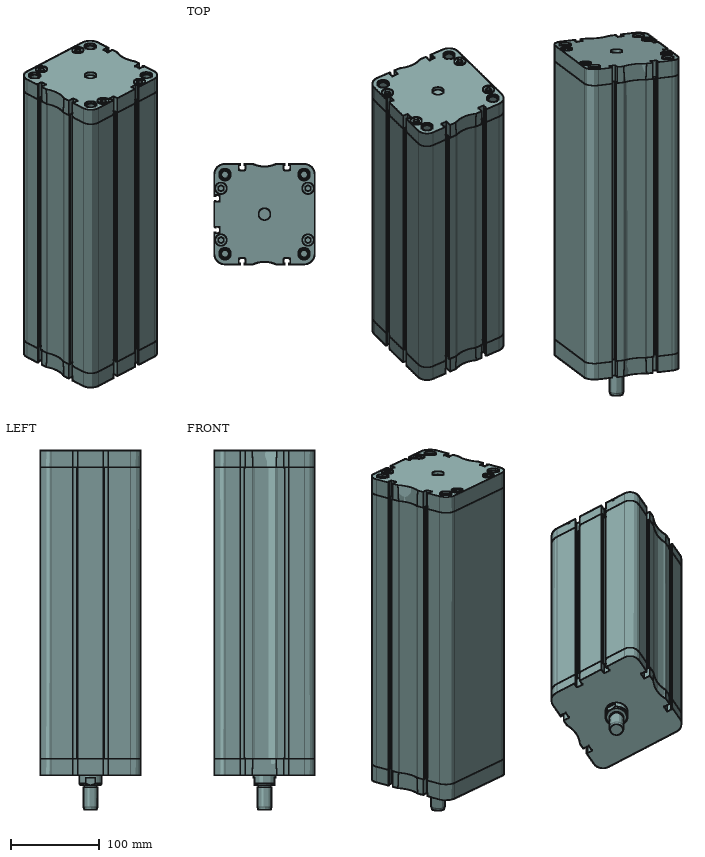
import cadquery as cq
import math

OVERALL_LENGTH = 405.0
SIDE = 113.5
HALF_SIDE = SIDE / 2
CORNER_RADIUS = 12.0

ROD_REACH = 39.0
COLLAR_LENGTH = 11.0
NECK_LENGTH = 2.5
TIP_CHAMFER = 3.5
COLLAR_DIAMETER = 25.5
COLLAR_CHAMFER = 1.2
COLLAR_CHAMFER_LENGTH = 2.0
THREAD_DIAMETER = 16.0
NECK_DIAMETER = 14.0
WRENCH_FLATS = 23.0
FLATS_TOP = 2.5

HOUSING_LENGTH = OVERALL_LENGTH - ROD_REACH
CAP_LENGTH = 19.0
BARREL_LENGTH = HOUSING_LENGTH - 2 * CAP_LENGTH

SLOT_OFFSET_X = 25.0
SLOT_OFFSET_Y = 18.0
SLOT_NECK = 5.0
SLOT_WIDTH = 7.3
SLOT_LIP = 1.5
SLOT_DEPTH = 7.3
SIDE_SLOT_DEPTH = 6.0
SLOT_FLOOR_WIDTH = SLOT_NECK
SLOT_FLOOR_TAPER = 1.5
SIDE_SLOT_MOUTH_CHAMFER = 1.2

GROOVE_WIDTH = 26.0
GROOVE_DEPTH = 3.0
GROOVE_EDGE_RADIUS = 3.2
CAP_GROOVE_WIDENING = 0.5

CORNER_HOLE_OFFSET = 44.5
CORNER_HOLE_DIAMETER = 10.0
CORNER_HOLE_MOUTH = 13.5
CORNER_HOLE_CORE = 8.5
CORNER_HOLE_MOUTH_DEPTH = 2.5
CORNER_HOLE_DEPTH = 12.0
CORNER_HOLE_CORE_DEPTH = 16.0
SCREW_X = 49.0
SCREW_Y = 29.0
SCREW_DIAMETER = 13.0
SCREW_RECESS = 1.0
SOCKET_FLATS = 6.0
SOCKET_DEPTH = 4.0
CENTRE_HOLE_DIAMETER = 13.5
CENTRE_HOLE_DEPTH = 4.0


def square_prism(bottom, length):
    """Square bar with rounded corners."""
    return (
        cq.Workplane("XY", origin=(0, 0, bottom))
        .rect(SIDE, SIDE)
        .extrude(length)
        .edges("|Z")
        .fillet(CORNER_RADIUS)
    )


def barrel_slot(depth):
    """Closed T-slot outline, opening at v = 0 and centred on u = 0, with v going into the bar."""
    neck = SLOT_NECK / 2
    wide = SLOT_WIDTH / 2
    floor = SLOT_FLOOR_WIDTH / 2
    wall_end = depth - SLOT_FLOOR_TAPER
    left = [(-neck, 0), (-neck, SLOT_LIP), (-wide, SLOT_LIP), (-wide, wall_end), (-floor, depth)]
    right = [(-u, v) for u, v in reversed(left)]
    return left + right


def cap_slot(depth):
    """Closed slot outline with a lip on its outer side (+u) only and a square floor."""
    neck = SLOT_NECK / 2
    wide = SLOT_WIDTH / 2
    return [(-wide, 0), (-wide, depth), (wide, depth), (wide, SLOT_LIP), (neck, SLOT_LIP), (neck, 0)]


def cut_slots(body, outline, bottom, length):
    """Two slots in each of the front and back faces, and two in the -X face."""
    plane = cq.Workplane("XY", origin=(0, 0, bottom))
    face_slot = outline(SLOT_DEPTH)
    side_slot = outline(SIDE_SLOT_DEPTH)
    for outward in (-1, 1):
        for face in (-1, 1):
            points = [(outward * (SLOT_OFFSET_X + u), face * (HALF_SIDE - v)) for u, v in face_slot]
            body = body.cut(plane.polyline(points).close().extrude(length))
        points = [(v - HALF_SIDE, outward * (SLOT_OFFSET_Y + u)) for u, v in side_slot]
        body = body.cut(plane.polyline(points).close().extrude(length))
    return body


def cut_grooves(body, bottom, length, widening_below=0, widening_above=0):
    """Concave grooves with an arc section in the front and back faces, widened at either end."""
    radius = ((GROOVE_WIDTH / 2) ** 2 + GROOVE_DEPTH**2) / (2 * GROOVE_DEPTH)
    centre_y = HALF_SIDE - GROOVE_DEPTH + radius
    cutter = (
        cq.Workplane("XZ")
        .polyline([
            (0, bottom),
            (radius + widening_below, bottom),
            (radius + widening_above, bottom + length),
            (0, bottom + length),
        ])
        .close()
        .revolve(360, (0, 0), (0, 1))
    )
    for y in (-centre_y, centre_y):
        body = body.cut(cutter.translate((0, y, 0)))
    return body


def slotted_section(slot_outline, bottom, length):
    """One length of the housing with its slots."""
    return cut_slots(square_prism(bottom, length), slot_outline, bottom, length)


def cut_corner_holes(cap):
    """Blind stepped holes with a shallow counterbore."""
    offsets = (-CORNER_HOLE_OFFSET, CORNER_HOLE_OFFSET)
    points = [(x, y) for x in offsets for y in offsets]
    mouth = CORNER_HOLE_MOUTH / 2
    bore = CORNER_HOLE_DIAMETER / 2
    core = CORNER_HOLE_CORE / 2
    cutter = (
        cq.Workplane("XZ")
        .polyline([
            (0, 0),
            (mouth, 0),
            (mouth, -CORNER_HOLE_MOUTH_DEPTH),
            (bore, -CORNER_HOLE_MOUTH_DEPTH),
            (bore, -CORNER_HOLE_DEPTH),
            (core, -CORNER_HOLE_DEPTH),
            (core, -CORNER_HOLE_CORE_DEPTH),
            (0, -CORNER_HOLE_CORE_DEPTH),
        ])
        .close()
        .revolve(360, (0, 0), (0, 1))
    )
    for x, y in points:
        cap = cap.cut(cutter.translate((x, y, HOUSING_LENGTH)))
    return cap


def cut_screw_recesses(cap):
    """Shallow round recesses with a hexagon socket in the floor."""
    points = [(x, y) for x in (-SCREW_X, SCREW_X) for y in (-SCREW_Y, SCREW_Y)]
    top = cq.Workplane("XY", origin=(0, 0, HOUSING_LENGTH))
    recess = top.circle(SCREW_DIAMETER / 2).extrude(-SCREW_RECESS)
    socket_corners = SOCKET_FLATS / math.cos(math.radians(30))
    socket = top.transformed(rotate=(0, 0, 90)).polygon(6, socket_corners).extrude(-SOCKET_DEPTH)
    for x, y in points:
        cap = cap.cut(recess.translate((x, y, 0))).cut(socket.translate((x, y, 0)))
    return cap


def make_lower_cap():
    cap = slotted_section(cap_slot, 0, CAP_LENGTH)
    return cut_grooves(cap, 0, CAP_LENGTH, widening_below=CAP_GROOVE_WIDENING)


def make_upper_cap():
    bottom = HOUSING_LENGTH - CAP_LENGTH
    cap = slotted_section(cap_slot, bottom, CAP_LENGTH)
    cap = cut_grooves(cap, bottom, CAP_LENGTH, widening_above=CAP_GROOVE_WIDENING)
    cap = cut_corner_holes(cap)
    cap = cut_screw_recesses(cap)
    centre_hole = (
        cq.Workplane("XY", origin=(0, 0, HOUSING_LENGTH))
        .circle(CENTRE_HOLE_DIAMETER / 2)
        .extrude(-CENTRE_HOLE_DEPTH)
    )
    return cap.cut(centre_hole)


def make_rod():
    """Collar with two wrench flats, relief neck and threaded end, standing on the lower cap."""
    collar = COLLAR_DIAMETER / 2
    neck = NECK_DIAMETER / 2
    thread = THREAD_DIAMETER / 2
    thread_start = -COLLAR_LENGTH - NECK_LENGTH
    rod = (
        cq.Workplane("XZ")
        .polyline([
            (0, 0),
            (collar, 0),
            (collar, COLLAR_CHAMFER_LENGTH - COLLAR_LENGTH),
            (collar - COLLAR_CHAMFER, -COLLAR_LENGTH),
            (neck, -COLLAR_LENGTH),
            (neck, thread_start),
            (thread, thread_start),
            (thread, TIP_CHAMFER - ROD_REACH),
            (neck, -ROD_REACH),
            (0, -ROD_REACH),
        ])
        .close()
        .revolve(360, (0, 0), (0, 1))
    )
    flats_height = COLLAR_LENGTH - FLATS_TOP
    for side in (-1, 1):
        offset = side * (WRENCH_FLATS + COLLAR_DIAMETER) / 2
        cutter = cq.Workplane("XY", origin=(offset, 0, -COLLAR_LENGTH)).rect(
            COLLAR_DIAMETER, COLLAR_DIAMETER
        )
        rod = rod.cut(cutter.extrude(flats_height))
    return rod


def make_barrel():
    """Middle section with rounded groove edges and a chamfer on the inner lip of each side slot."""
    barrel = slotted_section(barrel_slot, CAP_LENGTH, BARREL_LENGTH)
    barrel = cut_grooves(barrel, CAP_LENGTH, BARREL_LENGTH)
    mid_height = CAP_LENGTH + BARREL_LENGTH / 2
    for x in (-GROOVE_WIDTH / 2, GROOVE_WIDTH / 2):
        for y in (-HALF_SIDE, HALF_SIDE):
            edge = barrel.edges(cq.selectors.NearestToPointSelector((x, y, mid_height)))
            barrel = edge.fillet(GROOVE_EDGE_RADIUS)
    lip_y = SLOT_OFFSET_Y - SLOT_NECK / 2
    for y in (-lip_y, lip_y):
        edge = barrel.edges(cq.selectors.NearestToPointSelector((-HALF_SIDE, y, mid_height)))
        barrel = edge.chamfer(SIDE_SLOT_MOUTH_CHAMFER)
    return barrel


lower_cap = make_lower_cap()
barrel = make_barrel()
upper_cap = make_upper_cap()
rod = make_rod()

result = cq.Compound.makeCompound([lower_cap.val(), barrel.val(), upper_cap.val(), rod.val()])